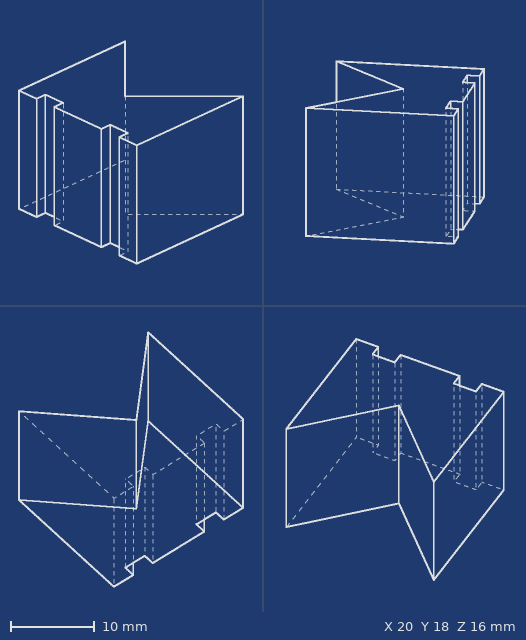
import cadquery as cq

width = 20.0
depth = 18.0
height = 16.0

notch_depth = width / 2

groove_width = 3.0
groove_depth = 1.5
groove_spacing = 11.0


def make_v_block():
    """Extrude the block outline with its V notch, centred on X and Y."""
    half_width = width / 2
    back = depth / 2
    outline = [
        (-half_width, -back),
        (half_width, -back),
        (half_width, back),
        (0, back - notch_depth),
        (-half_width, back),
    ]
    return cq.Workplane("XY").polyline(outline).close().extrude(height)


def make_groove(center_x):
    """Cutter for one full-height groove open at the front face."""
    return (
        cq.Workplane("XY")
        .box(groove_width, groove_depth, height, centered=(True, False, False))
        .translate((center_x, -depth / 2, 0))
    )


result = make_v_block()
for side in (-1, 1):
    result = result.cut(make_groove(side * groove_spacing / 2))